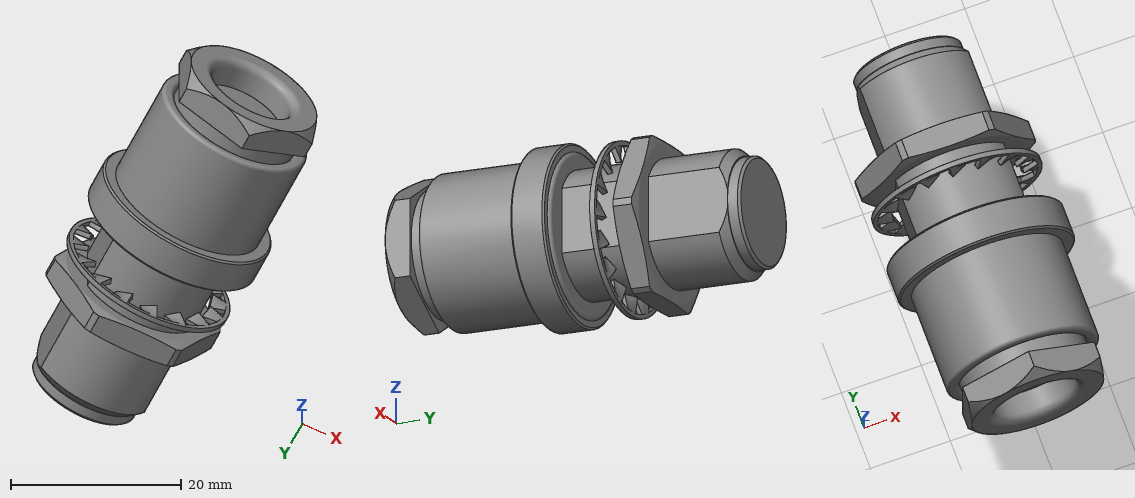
import cadquery as cq
import math


total_length = 45.2
gland_hex_length = 3.2
barrel_front = 4.85
flange_front = 17.45
flange_back = 21.8
seat_back = 22.2
nut_front = 30.4
nut_thickness = 3.05
stem_taper_length = 1.1
spigot_front = 43.65

gland_flats = 16.5
gland_corner_radius = gland_flats / 2 / math.cos(math.radians(30))
bore_radius = 5.25
bore_depth = 3.53
bore_lip_fillet = 1.0

neck_radius = 7.85
barrel_radius = 9.5
barrel_fillet = 0.45
barrel_lip_fillet = 0.7
flange_diameter = 22.1
flange_chamfer = 0.23
seat_base_radius = 10.05
seat_top_radius = 9.25
stem_radius = 7.85
stem_flats = 13.55
stem_taper_end_radius = 6.85
spigot_radius = 6.75
spigot_chamfer = 0.3

nut_flats = 19.2
nut_face_radius = 9.5
nut_corner_radius = 10.85
nut_chamfer_height = 0.3

washer_front = 27.55
washer_thickness = 0.65
washer_outer_radius = 10.6
washer_inner_radius = 10.05
tooth_count = 16
tooth_width = 2.0
tooth_tip_distance = 8.15
tooth_root_length = 0.23
tooth_twist = -26.0


def on_axis(y):
    """Workplane across the connector's axis, facing +Y, with local X along -X and local Y along Z."""
    return cq.Workplane(cq.Plane(origin=(0, y, 0), xDir=(-1, 0, 0), normal=(0, 1, 0)))


def turned(points):
    """Solid of revolution about Y from a closed outline of (radius, y) points."""
    return cq.Workplane("XY").polyline(points).close().revolve(360, (0, 0, 0), (0, 1, 0))


def hexagon(y, length, across_flats, turn):
    """Hexagonal prism along Y; with no turn its corners lie on X."""
    corner_diameter = across_flats / math.cos(math.radians(30))
    prism = on_axis(y).polygon(6, corner_diameter).extrude(length)
    return prism.rotate((0, 0, 0), (0, 1, 0), turn)


def rounded_lip_hole(front, radius, lip_fillet, depth):
    """Volume of a blind hole along Y whose front edge is rounded outwards."""
    arc_middle = lip_fillet * (1 - math.sqrt(0.5))
    return (
        cq.Workplane("XY")
        .moveTo(0, front)
        .lineTo(radius + lip_fillet, front)
        .threePointArc((radius + arc_middle, front + arc_middle), (radius, front + lip_fillet))
        .lineTo(radius, front + depth)
        .lineTo(0, front + depth)
        .close()
        .revolve(360, (0, 0, 0), (0, 1, 0))
    )


def make_gland():
    """Hexagonal gland head with a 45 degree front chamfer, and the neck behind it."""
    face_radius = gland_flats / 2
    chamfer_length = gland_corner_radius - face_radius
    envelope = turned([
        (0, 0),
        (face_radius, 0),
        (gland_corner_radius, chamfer_length),
        (gland_corner_radius, gland_hex_length),
        (0, gland_hex_length),
    ])
    head = hexagon(0, gland_hex_length, gland_flats, 30).intersect(envelope)
    neck = on_axis(gland_hex_length).circle(neck_radius).extrude(flange_front - gland_hex_length)
    return head.union(neck)


def make_barrel():
    """Round sleeve with rounded outer and inner front edges; the neck fills its hole."""
    barrel_length = flange_front - barrel_front
    barrel = on_axis(barrel_front).circle(barrel_radius).extrude(barrel_length)
    barrel = barrel.faces("<Y").edges().fillet(barrel_fillet)
    return barrel.cut(rounded_lip_hole(barrel_front, neck_radius, barrel_lip_fillet, barrel_length))


def make_flange():
    """Chamfered flange with a raised, round-edged seat on its back face."""
    flange = on_axis(flange_front).circle(flange_diameter / 2).extrude(flange_back - flange_front)
    flange = flange.edges().chamfer(flange_chamfer)
    seat_width = seat_base_radius - seat_top_radius
    seat_height = seat_back - flange_back
    diagonal = math.sqrt(0.5)
    seat = (
        cq.Workplane("XY")
        .moveTo(0, flange_back)
        .lineTo(seat_base_radius, flange_back)
        .threePointArc(
            (seat_top_radius + seat_width * diagonal, flange_back + seat_height * diagonal),
            (seat_top_radius, seat_back),
        )
        .lineTo(0, seat_back)
        .close()
        .revolve(360, (0, 0, 0), (0, 1, 0))
    )
    return flange.union(seat)


def make_stem():
    """Stem with two flats on its sides, a tapered back end and a spigot."""
    stem = turned([
        (0, flange_back),
        (stem_radius, flange_back),
        (stem_radius, spigot_front - stem_taper_length),
        (stem_taper_end_radius, spigot_front),
        (spigot_radius, spigot_front),
        (spigot_radius, total_length - spigot_chamfer),
        (spigot_radius - spigot_chamfer, total_length),
        (0, total_length),
    ])
    between_flats = on_axis(flange_back).rect(stem_flats, 2 * stem_radius)
    between_flats = between_flats.extrude(total_length - flange_back)
    return stem.intersect(between_flats)


def make_nut():
    """Hexagonal panel nut with turned-down corners, chamfered on both faces."""
    nut_back = nut_front + nut_thickness
    envelope = turned([
        (0, nut_front),
        (nut_face_radius, nut_front),
        (nut_corner_radius, nut_front + nut_chamfer_height),
        (nut_corner_radius, nut_back - nut_chamfer_height),
        (nut_face_radius, nut_back),
        (0, nut_back),
    ])
    return hexagon(nut_front, nut_thickness, nut_flats, 0).intersect(envelope)


def make_connector():
    """One solid: gland, barrel, flange, stem and nut, with the cable bore in its front."""
    connector = make_gland().union(make_barrel()).union(make_flange())
    connector = connector.union(make_stem()).union(make_nut())
    return connector.cut(rounded_lip_hole(0, bore_radius, bore_lip_fillet, bore_depth))


def make_tooth():
    """Tooth on the +X side: a flat root in the ring, then a blade twisting towards the axis."""
    root_plane = cq.Plane(
        origin=(washer_inner_radius, washer_front + washer_thickness / 2, 0),
        xDir=(0, 0, 1),
        normal=(-1, 0, 0),
    )
    blade_length = washer_inner_radius - tooth_tip_distance
    blade = cq.Workplane(root_plane).rect(tooth_width, washer_thickness)
    blade = blade.twistExtrude(blade_length, tooth_twist)
    root = cq.Workplane(root_plane).rect(tooth_width, washer_thickness).extrude(-tooth_root_length)
    return blade.union(root)


def make_lock_washer():
    """Thin ring with twisted teeth around its inside."""
    washer = on_axis(washer_front).circle(washer_outer_radius).circle(washer_inner_radius)
    washer = washer.extrude(washer_thickness)
    tooth = make_tooth()
    for index in range(tooth_count):
        washer = washer.union(tooth.rotate((0, 0, 0), (0, 1, 0), index * 360 / tooth_count))
    return washer


connector = make_connector()
lock_washer = make_lock_washer()
result = cq.Compound.makeCompound([connector.val(), lock_washer.val()])